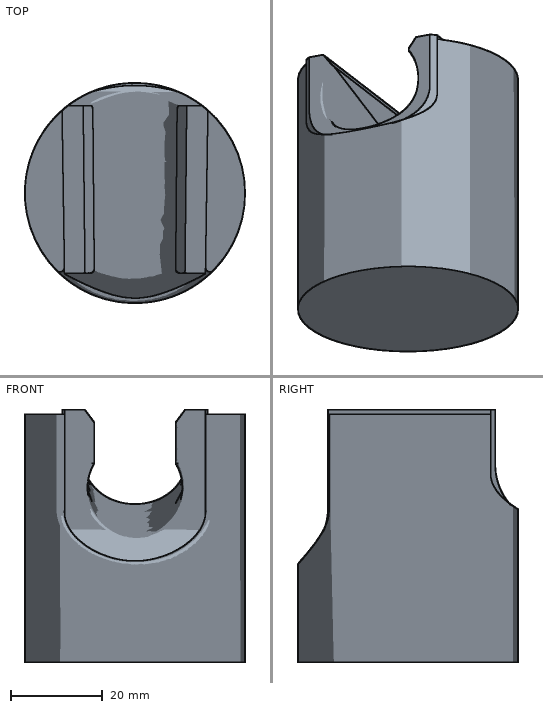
import cadquery as cq

total_height = 55.0
diameter = 48.0
housing_height = 54.05
slot_edge_radius = 1.0
front_bore_edge_radius = 0.9
back_bore_edge_radius = 0.65

front_y = -17.45
front_flare_top = 33.8
front_flare_radius = 15.4
back_y = 19.05
back_flare_top = 43.0
back_flare_radius = 13.2

slot_half_widths = (15.35, 15.9)
slot_spring_heights = (32.6, 41.35)
slot_round_depth = 9.25

bore_radii = (10.3, 11.55)
bore_heights = (37.8, 45.55)
throat_half_widths = (8.85, 9.2)
lead_in_half_widths = (10.9, 11.3)
lead_in_bottom = 52.25

radius = diameter / 2
reach = radius + 3.3
clear_height = total_height + 5.5

edge_margin = 0.55
rim_reach = slot_half_widths[0] + edge_margin
rim_inner_y = 16.5
rim_bottom = 16.5

mouth_reach = bore_radii[1] + edge_margin
front_mouth_bottom = bore_heights[0] - bore_radii[0] - edge_margin
back_mouth_bottom = bore_heights[1] - bore_radii[1] + 3 * edge_margin


def along_slot(values, y):
    """Value at position y, on the straight line through its front and back values."""
    front, back = values
    return front + (back - front) * (y - front_y) / (back_y - front_y)


def section_plane(y):
    """Upright plane at y whose local axes are X and Z."""
    return cq.Workplane(cq.Plane(origin=(0, y, 0), xDir=(1, 0, 0), normal=(0, -1, 0)))


def loft_sections(section, ends=(-reach, reach)):
    """Ruled solid between the sections at the two ends."""
    wires = [section(y).val() for y in ends]
    return cq.Workplane(cq.Solid.makeLoft(wires, True))


def slot_section(y, top):
    half_width = along_slot(slot_half_widths, y)
    spring = along_slot(slot_spring_heights, y)
    return (
        section_plane(y)
        .center(0, spring)
        .ellipseArc(half_width, slot_round_depth, 180, 360, startAtCurrent=False)
        .lineTo(half_width, top - spring)
        .lineTo(-half_width, top - spring)
        .close()
    )


def bore_section(y):
    plane = cq.Plane(origin=(0, y, along_slot(bore_heights, y)), xDir=(0, 0, 1), normal=(0, -1, 0))
    return cq.Workplane(plane).circle(along_slot(bore_radii, y))


def throat_section(y):
    throat = along_slot(throat_half_widths, y)
    lead_in = along_slot(lead_in_half_widths, y)
    bottom = along_slot(bore_heights, y)
    return section_plane(y).polyline([
        (-throat, bottom),
        (throat, bottom),
        (throat, lead_in_bottom),
        (lead_in, total_height),
        (lead_in, clear_height),
        (-lead_in, clear_height),
        (-lead_in, total_height),
        (-throat, lead_in_bottom),
    ]).close()


def end_cutter(face_y, flare_top, flare_radius, outward):
    """Everything beyond one end face; outward is -1 for the front and 1 for the back."""
    block = (
        cq.Workplane("XY")
        .box(2 * reach, flare_radius, clear_height - flare_top, centered=(True, True, False))
        .translate((0, face_y + outward * flare_radius / 2, flare_top))
    )
    flare = (
        cq.Workplane("YZ", origin=(-reach, 0, 0))
        .center(face_y + outward * flare_radius, flare_top)
        .circle(flare_radius)
        .extrude(2 * reach)
    )
    return block.union(flare)


def make_housing():
    slot = loft_sections(lambda y: slot_section(y, clear_height))
    housing = cq.Workplane("XY").circle(radius).extrude(housing_height).cut(slot)
    rim_zone = cq.selectors.BoxSelector(
        (-rim_reach, -reach, rim_bottom), (rim_reach, -rim_inner_y, housing_height - edge_margin)
    )
    return housing.edges(rim_zone).fillet(slot_edge_radius)


def make_saddle():
    blank = cq.Workplane("XY").circle(radius).extrude(total_height)
    saddle = loft_sections(lambda y: slot_section(y, total_height)).intersect(blank)
    saddle = saddle.cut(end_cutter(front_y, front_flare_top, front_flare_radius, -1))
    saddle = saddle.cut(end_cutter(back_y, back_flare_top, back_flare_radius, 1))
    passage = loft_sections(bore_section).union(loft_sections(throat_section))
    saddle = saddle.cut(passage)
    front_mouth = cq.selectors.BoxSelector(
        (-mouth_reach, -reach, front_mouth_bottom),
        (mouth_reach, front_y + edge_margin, lead_in_bottom - edge_margin),
    )
    back_mouth = cq.selectors.BoxSelector(
        (-mouth_reach, back_y - edge_margin, back_mouth_bottom),
        (mouth_reach, reach, lead_in_bottom - edge_margin),
    )
    saddle = saddle.edges(front_mouth).fillet(front_bore_edge_radius)
    return saddle.edges(back_mouth).fillet(back_bore_edge_radius)


housing = make_housing()
saddle = make_saddle()
result = cq.Compound.makeCompound([housing.val(), saddle.val()])